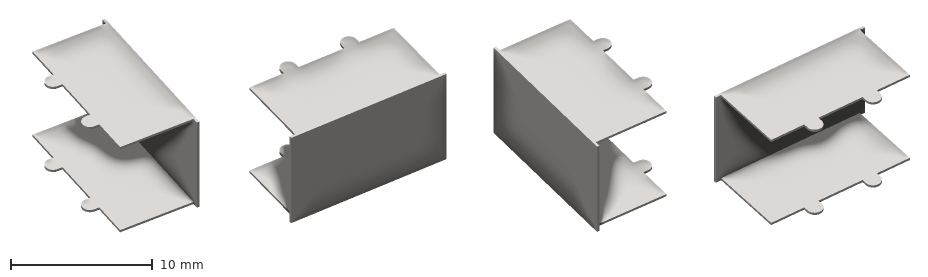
import cadquery as cq

sheet_thickness = 0.203
back_width = 13.0
back_height = 7.9
total_depth = 7.24
wing_width = 12.07
wing_depth = 6.22
tab_width = 1.24
tab_spacing = 5.08

tab_radius = tab_width / 2
tab_centre_y = -(total_depth - tab_radius)
upper_wing_z = back_height / 2 - sheet_thickness
lower_wing_z = -back_height / 2


def make_back():
    """Upright back plate, centred on X and Z."""
    return cq.Workplane("XY").box(
        back_width, sheet_thickness, back_height, centered=(True, False, True)
    ).translate((0, -sheet_thickness, 0))


def make_tab(centre_x):
    """Round-ended tab that starts at the wing front edge."""
    return (
        cq.Workplane("XY")
        .moveTo(centre_x - tab_radius, -wing_depth)
        .lineTo(centre_x - tab_radius, tab_centre_y)
        .threePointArc((centre_x, -total_depth), (centre_x + tab_radius, tab_centre_y))
        .lineTo(centre_x + tab_radius, -wing_depth)
        .close()
        .extrude(sheet_thickness)
    )


def make_wing(bottom_z):
    """Horizontal wing with two tabs, its lower face at bottom_z."""
    wing = cq.Workplane("XY").box(
        wing_width, wing_depth, sheet_thickness, centered=(True, False, False)
    ).translate((0, -wing_depth, 0))
    for side in (-1, 1):
        wing = wing.union(make_tab(side * tab_spacing / 2))
    return wing.translate((0, 0, bottom_z))


result = make_back()
for wing_z in (lower_wing_z, upper_wing_z):
    result = result.union(make_wing(wing_z))